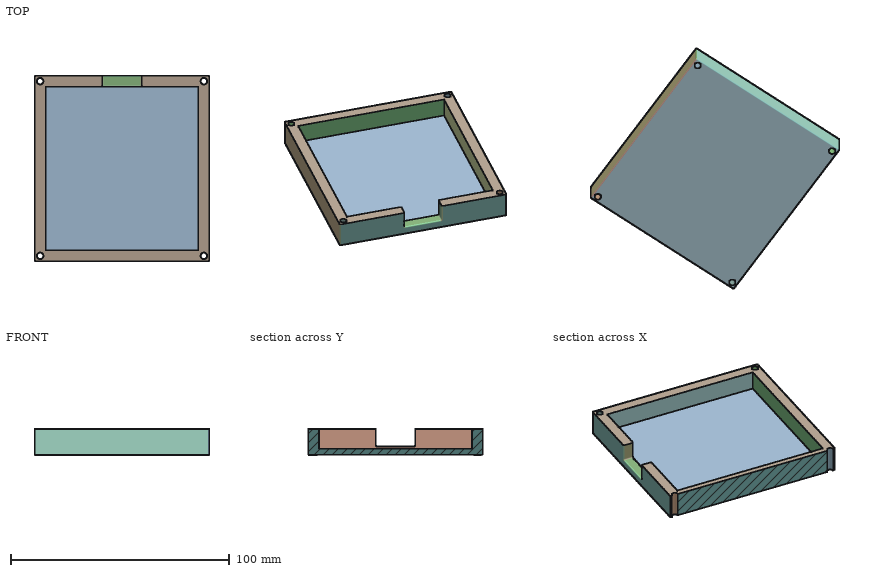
import cadquery as cq

LENGTH_X = 80.0
LENGTH_Y = 85.0
HEIGHT = 12.0
WALL = 5.0
FLOOR = 3.0
EDGE_ROUND = 0.5

HOLE_DIAMETER = 2.9
HOLE_INSET = WALL / 2

NOTCH_WIDTH = 17.9
SILL_STEP = 1.0
NOTCH_SILL = FLOOR + SILL_STEP

INNER_X = LENGTH_X - 2 * WALL
INNER_Y = LENGTH_Y - 2 * WALL

SELECTION_SLACK = 0.01


def tray_body():
    """Block with rounded upright and bottom edges, hollowed from above."""
    block = cq.Workplane("XY").box(LENGTH_X, LENGTH_Y, HEIGHT, centered=(True, True, False))
    block = block.edges("|Z or <Z").fillet(EDGE_ROUND)
    cavity = cq.Workplane("XY").workplane(offset=FLOOR).rect(INNER_X, INNER_Y).extrude(HEIGHT)
    return block.cut(cavity)


def cut_cable_notch(body):
    """Open-topped gap in the middle of the +Y wall, with its sill and jamb edges rounded."""
    notch = (
        cq.Workplane("XY")
        .box(NOTCH_WIDTH, WALL, HEIGHT - NOTCH_SILL, centered=(True, False, False))
        .translate((0, INNER_Y / 2, NOTCH_SILL))
    )
    around_notch = cq.selectors.BoxSelector(
        (-NOTCH_WIDTH / 2 - SELECTION_SLACK, INNER_Y / 2 - SELECTION_SLACK, NOTCH_SILL - SELECTION_SLACK),
        (NOTCH_WIDTH / 2 + SELECTION_SLACK, LENGTH_Y / 2 + SELECTION_SLACK, HEIGHT - SELECTION_SLACK),
    )
    return body.cut(notch).edges(around_notch).fillet(EDGE_ROUND)


def screw_holes():
    """Through holes at the four rim corners."""
    return (
        cq.Workplane("XY")
        .rect(LENGTH_X - 2 * HOLE_INSET, LENGTH_Y - 2 * HOLE_INSET, forConstruction=True)
        .vertices()
        .circle(HOLE_DIAMETER / 2)
        .extrude(HEIGHT)
    )


result = cut_cable_notch(tray_body()).cut(screw_holes())